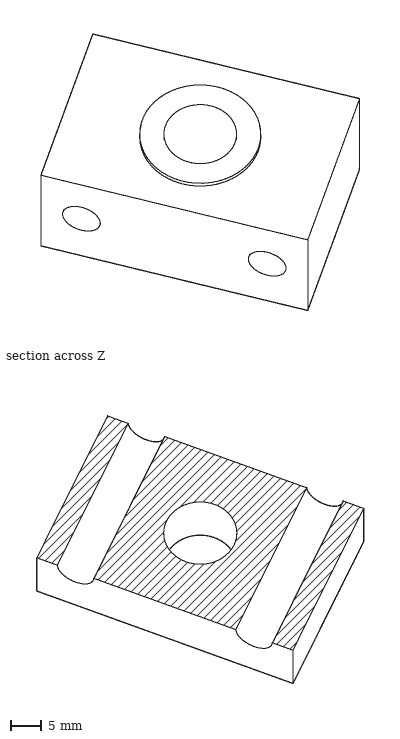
import cadquery as cq

length = 46.0
depth = 30.0
block_height = 20.0

collar_diameter = 20.0
collar_height = 0.8
bore_diameter = 12.0

cross_hole_diameter = 6.5
cross_hole_spacing = 32.0
cross_hole_height = 10.5

block = cq.Workplane("XY").box(length, depth, block_height, centered=(True, True, False))

collared_block = block.faces(">Z").workplane().circle(collar_diameter / 2).extrude(collar_height)
bored_block = collared_block.faces(">Z").workplane().hole(bore_diameter)

cross_holes = (
    cq.Workplane("XZ")
    .pushPoints([(side * cross_hole_spacing / 2, cross_hole_height) for side in (-1, 1)])
    .circle(cross_hole_diameter / 2)
    .extrude(depth / 2, both=True)
)

result = bored_block.cut(cross_holes)